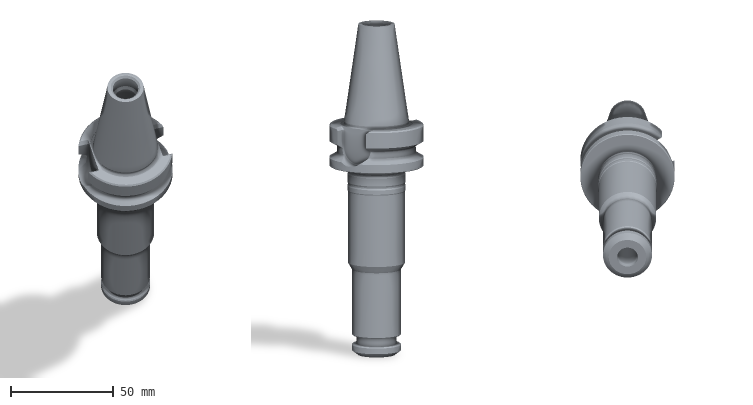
import cadquery as cq
import math

total_height = 163.9

taper_rim_d = 31.8
taper_rim_z = 115.7
taper_ratio = 7 / 24
taper_tip_d = taper_rim_d - taper_ratio * (total_height - taper_rim_z)
relief_d = 31.1

flange_d = 46.0
flange_top_z = 114.4
flange_bottom_z = 93.6
flange_edge_chamfer = 0.7
flange_lower_edge_chamfer = 0.3
face_recess_d = 35.0
face_recess_depth = 0.3
relief_fillet = 0.7
grip_floor_d = 38.4
grip_floor_top_z = 103.9
grip_floor_bottom_z = 100.1
grip_floor_fillet = 0.7
grip_wall_slope = math.tan(math.radians(30))
grip_wall_rise = (flange_d - grip_floor_d) / 2 * grip_wall_slope

slot_width = 16.7
slot_floor_y = 16.2
slot_bottom_z = 96.2
slot_chamfer = 1.5
slot_floor_fillet = 0.5

collar_d = 28.5
collar_top_z = 92.0
collar_bottom_z = 81.6
collar_neck_d = 27.7
collar_neck_bottom_z = 92.5
ring_groove_centers_z = [90.6, 84.7]
ring_groove_d = 27.9
ring_groove_floor = 0.7
ring_groove_mouth = 2.0

shank_d = 28.0
shank_top_z = 81.1
shank_bottom_z = 45.7
lower_shank_d = 24.0
lower_shank_top_z = 42.3
lower_shank_bottom_z = 9.7
neck_d = 19.5
head_top_z = 5.4
head_cone_top_z = 2.1
head_face_d = 18.4
small_chamfer = 0.5
neck_fillet = 0.3

bore_d = 10.2
upper_bore_d = 12.5
upper_bore_depth = 7.2
bore_mouth_d = 14.5
bore_mouth_depth = (bore_mouth_d - upper_bore_d) / 2
bore_cone_depth = (upper_bore_d - bore_d) / 2

edge_tolerance = 0.02


def revolve_profile(diameters_and_heights):
    """Solid of revolution about Z from (diameter, height) corners, closed along the axis."""
    first_z = diameters_and_heights[0][1]
    last_z = diameters_and_heights[-1][1]
    outline = [(0, first_z)]
    outline += [(diameter / 2, z) for diameter, z in diameters_and_heights]
    outline.append((0, last_z))
    return cq.Workplane("XZ").polyline(outline).close().revolve(360, (0, 0), (0, 1))


def ring_groove(center_z):
    """Ring with sloping side walls, to be cut out of the collar."""
    half_mouth = ring_groove_mouth / 2
    half_floor = ring_groove_floor / 2
    inner_r = ring_groove_d / 2
    outer_r = collar_d / 2
    outline = [
        (outer_r, center_z - half_mouth),
        (inner_r, center_z - half_floor),
        (inner_r, center_z + half_floor),
        (outer_r, center_z + half_mouth),
    ]
    return cq.Workplane("XZ").polyline(outline).close().revolve(360, (0, 0), (0, 1))


def drive_slots():
    """Two round-bottomed slots with flat floors and chamfered upper corners."""
    half_width = slot_width / 2
    mouth_half_width = half_width + slot_chamfer
    arc_center_z = slot_bottom_z + half_width
    chamfer_z = flange_top_z - slot_chamfer
    depth = flange_d / 2 - slot_floor_y
    slot = (
        cq.Workplane("XZ", origin=(0, -slot_floor_y, 0))
        .moveTo(-half_width, arc_center_z)
        .threePointArc((0, slot_bottom_z), (half_width, arc_center_z))
        .lineTo(half_width, chamfer_z)
        .lineTo(mouth_half_width, flange_top_z)
        .lineTo(-mouth_half_width, flange_top_z)
        .lineTo(-half_width, chamfer_z)
        .close()
        .extrude(depth)
    )
    slot = slot.faces(">Y").edges("not >Z").fillet(slot_floor_fillet)
    return slot.union(slot.mirror("XZ"))


def fillet_ring(solid, diameter, z, radius):
    """Round the circular edge of the given diameter at height z."""
    reach = diameter / 2 + edge_tolerance
    ring = cq.selectors.BoxSelector(
        (-reach, -reach, z - edge_tolerance),
        (reach, reach, z + edge_tolerance),
        boundingbox=True,
    )
    return solid.edges(ring).fillet(radius)


def body():
    solid = revolve_profile([
        (head_face_d, 0),
        (lower_shank_d, head_cone_top_z),
        (lower_shank_d, head_top_z - small_chamfer),
        (lower_shank_d - 2 * small_chamfer, head_top_z),
        (neck_d, head_top_z),
        (neck_d, lower_shank_bottom_z),
        (lower_shank_d - 2 * small_chamfer, lower_shank_bottom_z),
        (lower_shank_d, lower_shank_bottom_z + small_chamfer),
        (lower_shank_d, lower_shank_top_z),
        (shank_d, shank_bottom_z),
        (shank_d, shank_top_z),
        (collar_d, collar_bottom_z),
        (collar_d, collar_top_z),
        (collar_neck_d, collar_neck_bottom_z),
        (collar_neck_d, flange_bottom_z),
        (flange_d - 2 * flange_lower_edge_chamfer, flange_bottom_z),
        (flange_d, flange_bottom_z + flange_lower_edge_chamfer),
        (flange_d, grip_floor_bottom_z - grip_wall_rise),
        (grip_floor_d, grip_floor_bottom_z),
        (grip_floor_d, grip_floor_top_z),
        (flange_d, grip_floor_top_z + grip_wall_rise),
        (flange_d, flange_top_z - flange_edge_chamfer),
        (flange_d - 2 * flange_edge_chamfer, flange_top_z),
        (face_recess_d, flange_top_z),
        (face_recess_d, flange_top_z - face_recess_depth),
        (relief_d, flange_top_z - face_recess_depth),
        (relief_d, taper_rim_z),
        (taper_rim_d, taper_rim_z),
        (taper_tip_d, total_height),
    ])
    solid = fillet_ring(solid, relief_d, flange_top_z - face_recess_depth, relief_fillet)
    solid = fillet_ring(solid, grip_floor_d, grip_floor_top_z, grip_floor_fillet)
    solid = fillet_ring(solid, grip_floor_d, grip_floor_bottom_z, grip_floor_fillet)
    return fillet_ring(solid, neck_d, lower_shank_bottom_z, neck_fillet)


def bore():
    upper_bore_bottom_z = total_height - upper_bore_depth
    return revolve_profile([
        (bore_d, 0),
        (bore_d, upper_bore_bottom_z - bore_cone_depth),
        (upper_bore_d, upper_bore_bottom_z),
        (upper_bore_d, total_height - bore_mouth_depth),
        (bore_mouth_d, total_height),
    ])


result = body().cut(drive_slots())
for groove_z in ring_groove_centers_z:
    result = result.cut(ring_groove(groove_z))
result = result.cut(bore())